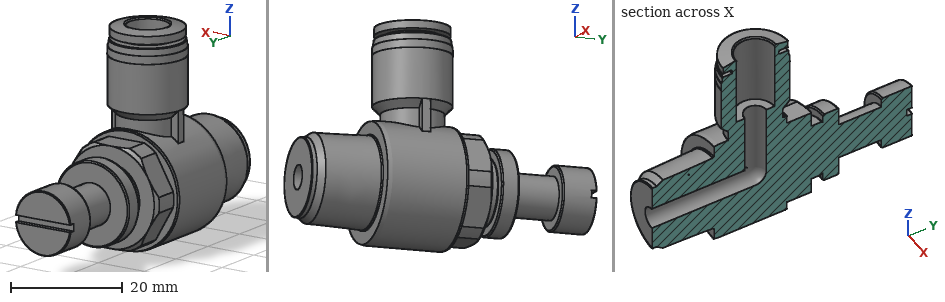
import cadquery as cq
import math

TOTAL_LENGTH = 54.9
PORT_Y = 21.85
PORT_TOP_Z = 29.6

RIM_DIA = 14.6
RIM_END_Y = 1.0
RIM_CHAMFER = 0.15
SHANK_FRONT_DIA = 16.45
SHANK_FRONT_Y = 2.3
SHANK_REAR_DIA = 17.1
SHANK_REAR_Y = 12.8
COLLAR_DIA = 17.45

BODY_DIA = 22.5
BODY_FRONT_Y = 13.05
BODY_REAR_Y = 28.55
BODY_END_DROP = 0.15
BODY_FRONT_TAPER = 0.9
BODY_REAR_TAPER = 0.45

HEX_FLATS = 19.1
HEX_TURNED_DIA = 20.6
HEX_REAR_Y = 33.65
HEX_CHAMFER_LENGTH = 0.55

NECK_DIA = 12.8
NECK_REAR_Y = 36.0
RING_DIA = 16.0
RING_REAR_Y = 39.4
STEM_DIA = 8.0
HEAD_DIA = 12.0
HEAD_FRONT_Y = 48.35
SCREW_CHAMFER = 0.3
HEAD_REAR_CHAMFER = 0.15
SLOT_WIDTH = 1.35
SLOT_DEPTH = 1.05

ROOT_DIA = 11.6
SLEEVE_DIA = 14.5
SLEEVE_BOTTOM_Z = 14.65
BAND_DIA = 14.6
BAND_BOTTOM_Z = 24.0
BAND_TOP_Z = 25.55
LIP_DIA = 14.0
LIP_TOP_Z = 26.9
LIP_CHAMFER = 0.15
BUTTON_NECK_DIA = 9.95
BUTTON_NECK_TOP_DIA = 10.15
BUTTON_NECK_FLARE_Z = 27.35
BUTTON_DIA = 13.8
BUTTON_BOTTOM_Z = 27.6
BUTTON_EDGE_Z = 29.1
RIB_THICKNESS = 1.65

TUBE_BORE_DIA = 7.95
TUBE_BORE_CHAMFER = 0.3
TUBE_STOP_Z = 14.8
PASSAGE_DIA = 4.5


def disc_profile(dia, start, end, start_chamfer, end_chamfer):
    """Return (radius, position) points of a disc with chamfered edges."""
    radius = dia / 2
    return [
        (radius - start_chamfer, start),
        (radius, start + start_chamfer),
        (radius, end - end_chamfer),
        (radius - end_chamfer, end),
    ]


def revolve_about_y(points):
    """Revolve (radius, Y) points, closed by the axis, about Y."""
    outline = [(0, points[0][1])] + points + [(0, points[-1][1])]
    return cq.Workplane("XY").polyline(outline).close().revolve(360, (0, 0), (0, 1))


def revolve_about_port(points):
    """Revolve (radius, Z) points, closed by the axis, about the vertical port axis."""
    outline = [(0, points[0][1])] + points + [(0, points[-1][1])]
    profile = cq.Workplane("XZ", origin=(0, PORT_Y, 0)).polyline(outline).close()
    return profile.revolve(360, (0, 0), (0, 1))


def threaded_end():
    rim_radius = RIM_DIA / 2
    return revolve_about_y([
        (rim_radius - RIM_CHAMFER, 0),
        (rim_radius, RIM_CHAMFER),
        (rim_radius, RIM_END_Y),
        (SHANK_FRONT_DIA / 2, SHANK_FRONT_Y),
        (SHANK_REAR_DIA / 2, SHANK_REAR_Y),
        (COLLAR_DIA / 2, BODY_FRONT_Y),
    ])


def body():
    radius = BODY_DIA / 2
    return revolve_about_y([
        (radius - BODY_END_DROP, BODY_FRONT_Y),
        (radius, BODY_FRONT_Y + BODY_FRONT_TAPER),
        (radius, BODY_REAR_Y - BODY_REAR_TAPER),
        (radius - BODY_END_DROP, BODY_REAR_Y),
    ])


def hexagon():
    """Hexagon with flats facing +Z and -Z, its corners turned down and chamfered at the rear."""
    corner_dia = HEX_FLATS / math.cos(math.pi / 6)
    prism = (
        cq.Workplane("XZ", origin=(0, BODY_REAR_Y, 0))
        .polygon(6, corner_dia)
        .extrude(BODY_REAR_Y - HEX_REAR_Y)
    )
    turned = revolve_about_y([
        (HEX_TURNED_DIA / 2, BODY_REAR_Y),
        (HEX_TURNED_DIA / 2, HEX_REAR_Y - HEX_CHAMFER_LENGTH),
        (HEX_FLATS / 2, HEX_REAR_Y),
    ])
    return prism.intersect(turned)


def adjusting_screw():
    stem_radius = STEM_DIA / 2
    screw = revolve_about_y(
        disc_profile(NECK_DIA, HEX_REAR_Y, NECK_REAR_Y, 0, SCREW_CHAMFER)[1:]
        + disc_profile(RING_DIA, NECK_REAR_Y, RING_REAR_Y, SCREW_CHAMFER, SCREW_CHAMFER)
        + [(stem_radius, RING_REAR_Y), (stem_radius, HEAD_FRONT_Y)]
        + disc_profile(HEAD_DIA, HEAD_FRONT_Y, TOTAL_LENGTH, SCREW_CHAMFER, HEAD_REAR_CHAMFER)
    )
    slot = cq.Workplane("XY").box(HEAD_DIA, 2 * SLOT_DEPTH, SLOT_WIDTH)
    return screw.cut(slot.translate((0, TOTAL_LENGTH, 0)))


def port():
    root_radius = ROOT_DIA / 2
    sleeve_radius = SLEEVE_DIA / 2
    band_radius = BAND_DIA / 2
    lip_radius = LIP_DIA / 2
    neck_radius = BUTTON_NECK_DIA / 2
    button_radius = BUTTON_DIA / 2
    root_top_z = SLEEVE_BOTTOM_Z - (sleeve_radius - root_radius)
    turned = revolve_about_port([
        (root_radius, 0),
        (root_radius, root_top_z),
        (sleeve_radius, SLEEVE_BOTTOM_Z),
        (sleeve_radius, BAND_BOTTOM_Z),
        (band_radius, BAND_BOTTOM_Z),
        (sleeve_radius, BAND_TOP_Z),
        (lip_radius + LIP_CHAMFER, BAND_TOP_Z),
        (lip_radius, LIP_TOP_Z - LIP_CHAMFER),
        (lip_radius - LIP_CHAMFER, LIP_TOP_Z),
        (neck_radius, LIP_TOP_Z),
        (neck_radius, BUTTON_NECK_FLARE_Z),
        (BUTTON_NECK_TOP_DIA / 2, BUTTON_BOTTOM_Z),
        (button_radius, BUTTON_BOTTOM_Z),
        (button_radius, BUTTON_EDGE_Z),
        (TUBE_BORE_DIA / 2 + TUBE_BORE_CHAMFER, PORT_TOP_Z),
    ])
    rib = cq.Workplane("XY").box(
        SLEEVE_DIA, RIB_THICKNESS, SLEEVE_BOTTOM_Z, centered=(True, True, False)
    )
    return turned.union(rib.translate((0, PORT_Y, 0)))


def passages():
    """Tube bore and a round-cornered elbow joining it to the threaded end."""
    bore_radius = TUBE_BORE_DIA / 2
    passage_radius = PASSAGE_DIA / 2
    tube_bore = revolve_about_port([
        (bore_radius, TUBE_STOP_Z),
        (bore_radius, PORT_TOP_Z - TUBE_BORE_CHAMFER),
        (bore_radius + TUBE_BORE_CHAMFER, PORT_TOP_Z),
    ])
    vertical = revolve_about_port([(passage_radius, 0), (passage_radius, TUBE_STOP_Z)])
    horizontal = revolve_about_y([(passage_radius, 0), (passage_radius, PORT_Y)])
    elbow_corner = cq.Workplane("XY").sphere(passage_radius).translate((0, PORT_Y, 0))
    return tube_bore.union(vertical).union(horizontal).union(elbow_corner)


solid = body()
for section in (threaded_end(), hexagon(), adjusting_screw(), port()):
    solid = solid.union(section)

result = solid.cut(passages())